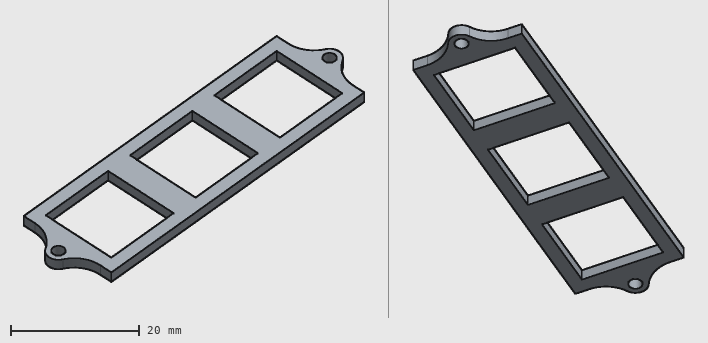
import cadquery as cq
import math

frame_width = 18.8
overall_length = 65.4
thickness = 2.0

window_size = 14.05
window_pitch = 19.0
window_count = 3
frame_length = window_count * window_pitch

ear_radius = 2.1
blend_radius = 5.9
hole_diameter = 2.2
hole_y = overall_length / 2 - ear_radius


def make_ear():
    """Ear at the +Y end: a round tip tangent to two blends that run out along the frame edge."""
    edge_y = frame_length / 2
    blend_y = edge_y + blend_radius
    centre_distance = ear_radius + blend_radius
    blend_x = math.sqrt(centre_distance**2 - (blend_y - hole_y) ** 2)

    tangent_x = blend_x * ear_radius / centre_distance
    tangent_y = hole_y + (blend_y - hole_y) * ear_radius / centre_distance

    tangent_angle = math.atan2(hole_y - blend_y, -blend_x)
    middle_angle = (tangent_angle - math.pi / 2) / 2
    middle_x = blend_x + blend_radius * math.cos(middle_angle)
    middle_y = blend_y + blend_radius * math.sin(middle_angle)

    root_y = (window_count - 1) / 2 * window_pitch + window_size / 2
    return (
        cq.Workplane("XY")
        .moveTo(-blend_x, root_y)
        .lineTo(blend_x, root_y)
        .lineTo(blend_x, edge_y)
        .threePointArc((middle_x, middle_y), (tangent_x, tangent_y))
        .threePointArc((0, overall_length / 2), (-tangent_x, tangent_y))
        .threePointArc((-middle_x, middle_y), (-blend_x, edge_y))
        .close()
        .extrude(thickness)
    )


def make_windows():
    return (
        cq.Workplane("XY")
        .rarray(0.65, window_pitch, 1, window_count)
        .rect(window_size, window_size)
        .extrude(thickness)
    )


def make_screw_holes():
    return (
        cq.Workplane("XY")
        .pushPoints([(0, hole_y), (0, -hole_y)])
        .circle(hole_diameter / 2)
        .extrude(thickness)
    )


frame = cq.Workplane("XY").rect(frame_width, frame_length).extrude(thickness)
ear = make_ear()
plate = frame.union(ear).union(ear.mirror("XZ"))
result = plate.cut(make_windows()).cut(make_screw_holes())